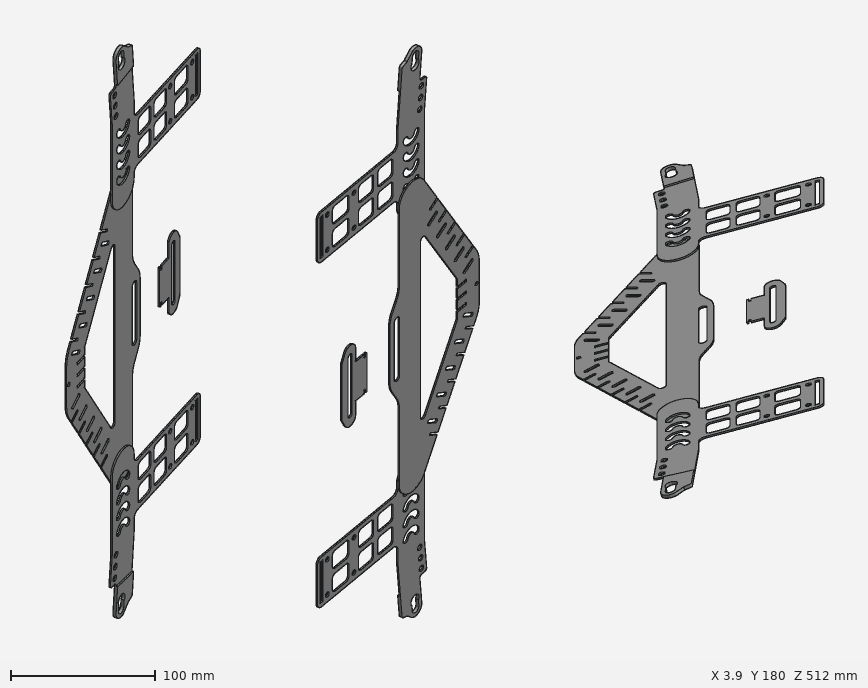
import cadquery as cq
import math


sheet = 1.3
overall_width = 180.0
overall_height = 512.0
back_y = overall_width / 2
front_y = -overall_width / 2
column_y = -15.15
column_width = 30.0
column_half = column_width / 2
joint_z = 124.5
plate_x = -1.5 * sheet
bracket_x = plate_x + sheet

brace_slope = math.radians(30)
brace_width = 24.6
brace_inward = (math.cos(brace_slope), -math.sin(brace_slope))
brace_along = (-math.sin(brace_slope), -math.cos(brace_slope))
window_back_y = -23.9
window_corner_radius = 3.0
grip_depth = 10.4
grip_middle_z = 40.2
grip_bend_radius = 20.0
grip_slot_y = 2.5
grip_slot_length = 57.0
grip_slot_width = 6.0
brace_slot_length = 12.0
brace_slot_width = 3.0
notch_width = 2.0
notch_depth = 10.0
brace_stations = 5
brace_pitch = 20.0
first_notch = 30.0
apex_notch_pitch = 10.5
apex_hole_inset = 3.1
apex_hole_diameter = 3.1

arm_z = 155.3
arm_height = 45.0
arm_corner_radius = 4.5
arm_root_radius = 5.0
window_height = 16.1
window_rib = 4.6
window_radius = 3.0
arm_windows = [(64.0, 18.5), (35.5, 17.0), (13.9, 17.0)]
arm_hole_ys = [79.0, 49.0]
arm_hole_diameter = 4.0
arm_hole_half_pitch = 15.8
end_slot_y = 85.3
end_slot_width = 3.2
crescent_radius = 6.4
crescent_width = 5.4
crescent_reach = math.radians(75)
crescent_count = 4
crescent_pitch = 14.1
top_crescent_z = 181.6

tip_lean = math.radians(5.2)
eye_reach = 55.0
eye_radius = 7.0
bend_z = overall_height / 2 - eye_radius - eye_reach * math.cos(tip_lean)
tab_reach = 29.5
tab_corner_radius = 2.0
shoulder_reach = 52.5
shoulder_end = (-9.7, 54.8)
shoulder_radius = 2.0
eye_tangent = math.radians(145)
doubled_reach = 32.0
keyhole_radius = 4.5
keyhole_slot_radius = 3.6
keyhole_length = 8.0
tab_hole_diameter = 4.8
tab_hole_offset = 9.4
tab_hole_reaches = [4.0, 14.0, 24.0]

buckle_y = 53.4
buckle_height = 72.8
buckle_end_radius = 6.3
buckle_back_y = 62.4
buckle_flare = math.radians(25)
buckle_slot_length = 56.8
buckle_slot_width = 4.5
tongue_end_y = 34.4
tongue_height = 35.4
tongue_corner_radius = 1.0
tongue_notch_y = 36.8
tongue_notch_width = 1.6
tongue_notch_depth = 2.9


def sheet_plane(x):
    """Sketch plane at the given X whose local axes are Y and Z."""
    return cq.Workplane("YZ", origin=(x, 0, 0))


def round_corners(body, corners, radius):
    """Fillet the through-thickness edges standing at the given (y, z) corners."""
    for y, z in corners:
        middle_x = body.val().Center().x
        edge = cq.selectors.NearestToPointSelector((middle_x, y, z))
        body = body.edges("|X").edges(edge).fillet(radius)
    return body


def both_sides(corners):
    """The corners together with their mirror images below Z = 0."""
    return corners + [(y, -z) for y, z in corners]


def mirrored_loop(upper):
    """Closed loop of points from its upper half and the mirror image of that half."""
    return upper + [(y, -z) for y, z in reversed(upper)]


def cutter(x, points, length, width, angle=0.0, round_ends=True):
    """Prism for cutting slots through one sheet."""
    sketch = sheet_plane(x).pushPoints(points)
    if round_ends:
        return sketch.slot2D(length, width, angle).extrude(sheet)
    return sketch.rect(length, width).extrude(sheet)



def brace_point(along, inward):
    """Point measured from the round end's tangent point along the outer edge of the upper brace."""
    tangent_y = column_y - column_half * brace_inward[0]
    tangent_z = joint_z - column_half * brace_inward[1]
    y = tangent_y + along * brace_along[0] + inward * brace_inward[0]
    z = tangent_z + along * brace_along[1] + inward * brace_inward[1]
    return (y, z)


def brace_point_at_y(y, inward):
    """Point of the brace line at the given depth that lies at the given Y."""
    start_y = brace_point(0, inward)[0]
    return brace_point((y - start_y) / brace_along[0], inward)


def plate_blank():
    back = column_y + column_half
    grip_back = back + grip_depth
    half_rise = grip_depth / math.tan(brace_slope) / 2
    grip_root = (back, grip_middle_z + half_rise)
    grip_corner = (grip_back, grip_middle_z - half_rise)
    apex_corner = brace_point_at_y(front_y, 0)
    brace_start = brace_point(0, 0)
    end_top = (column_y, joint_z + column_half)
    lower_end = (column_y, -joint_z - column_half)
    plate = (
        sheet_plane(plate_x)
        .moveTo(back, joint_z)
        .threePointArc(end_top, brace_start)
        .lineTo(*apex_corner)
        .lineTo(apex_corner[0], -apex_corner[1])
        .lineTo(brace_start[0], -brace_start[1])
        .threePointArc(lower_end, (back, -joint_z))
        .lineTo(grip_root[0], -grip_root[1])
        .lineTo(grip_corner[0], -grip_corner[1])
        .lineTo(*grip_corner)
        .lineTo(*grip_root)
        .close()
        .extrude(sheet)
    )
    plate = round_corners(plate, both_sides([grip_root, grip_corner]), grip_bend_radius)
    return round_corners(plate, both_sides([apex_corner]), brace_width)


def plate_window():
    """Opening between the column and the two braces."""
    top = brace_point_at_y(window_back_y, brace_width)
    front = brace_point_at_y(front_y + brace_width, brace_width)
    opening = sheet_plane(plate_x).polyline(mirrored_loop([top, front])).close().extrude(sheet)
    return round_corners(opening, both_sides([top]), window_corner_radius)


def brace_cuts():
    """Slots along the middle of the upper brace and notches along its outer edge."""
    angle = -math.degrees(brace_slope)
    notch_points = []
    slot_points = []
    for i in range(brace_stations):
        station = first_notch + i * brace_pitch
        notch_points.append(brace_point(station, 0))
        slot_points.append(brace_point(station + brace_pitch / 2, brace_width / 2))
    notches = cutter(plate_x, notch_points, 2 * notch_depth, notch_width, angle)
    return notches.union(cutter(plate_x, slot_points, brace_slot_length, brace_slot_width, angle))


def make_plate():
    apex_inner_y = front_y + brace_width
    apex_points = [(apex_inner_y, i * apex_notch_pitch) for i in (-1, 0, 1)]
    apex_hole = sheet_plane(plate_x).center(front_y + apex_hole_inset, 0).circle(apex_hole_diameter / 2)
    upper_cuts = brace_cuts()
    return (
        plate_blank()
        .cut(plate_window())
        .cut(cutter(plate_x, [(grip_slot_y, 0)], grip_slot_length, grip_slot_width, 90))
        .cut(upper_cuts)
        .cut(upper_cuts.mirror("XY"))
        .cut(cutter(plate_x, apex_points, 2 * notch_depth, notch_width, round_ends=False))
        .cut(apex_hole.extrude(sheet))
    )



def tip_point(offset, reach):
    """Point of the leaning tip: offset towards the front from its axis, reach from the bend."""
    y = column_y - offset * math.cos(tip_lean) - reach * math.sin(tip_lean)
    z = bend_z - offset * math.sin(tip_lean) + reach * math.cos(tip_lean)
    return (y, z)


def bracket_blank():
    """Column with its round lower end, the arm and the leaning tip."""
    back = column_y + column_half
    front = column_y - column_half
    arm_top = arm_z + arm_height / 2
    arm_bottom = arm_z - arm_height / 2
    tangent_offset = eye_radius * math.cos(eye_tangent)
    tangent_reach = eye_reach + eye_radius * math.sin(eye_tangent)
    shoulder = tip_point(-column_half, shoulder_reach)
    tab_corner = tip_point(column_half, tab_reach)
    tab_root = tip_point(eye_radius, tab_reach)
    blank = (
        sheet_plane(bracket_x)
        .moveTo(front, joint_z)
        .threePointArc((column_y, joint_z - column_half), (back, joint_z))
        .lineTo(back, arm_bottom)
        .lineTo(back_y, arm_bottom)
        .lineTo(back_y, arm_top)
        .lineTo(back, arm_top)
        .lineTo(back, bend_z)
        .lineTo(*shoulder)
        .lineTo(*tip_point(*shoulder_end))
        .lineTo(*tip_point(tangent_offset, tangent_reach))
        .threePointArc(tip_point(0, eye_reach + eye_radius), tip_point(eye_radius, eye_reach))
        .lineTo(*tab_root)
        .lineTo(*tab_corner)
        .lineTo(front, bend_z)
        .close()
        .extrude(sheet)
    )
    blank = round_corners(blank, [(back_y, arm_bottom), (back_y, arm_top)], arm_corner_radius)
    blank = round_corners(blank, [(back, arm_bottom), (back, arm_top)], arm_root_radius)
    blank = round_corners(blank, [tab_corner, tab_root], tab_corner_radius)
    return round_corners(blank, [shoulder], shoulder_radius)


def doubled_tip(blank):
    """Second sheet thickness behind the outer part of the tip."""
    margin = 2 * eye_radius
    zone_points = [
        tip_point(-column_half - margin, doubled_reach),
        tip_point(column_half + margin, doubled_reach),
        tip_point(column_half + margin, eye_reach + margin),
        tip_point(-column_half - margin, eye_reach + margin),
    ]
    zone = sheet_plane(bracket_x).polyline(zone_points).close().extrude(sheet)
    return blank.intersect(zone).translate((sheet, 0, 0))


def arm_cuts():
    half_row_pitch = (window_rib + window_height) / 2
    cuts = cutter(
        bracket_x,
        [(end_slot_y, arm_z)],
        end_slot_width,
        2 * window_height + window_rib,
        round_ends=False,
    )
    for side in (-1, 1):
        for centre_y, width in arm_windows:
            centre = (centre_y, arm_z + side * half_row_pitch)
            window = cutter(bracket_x, [centre], width, window_height, round_ends=False)
            cuts = cuts.union(window.edges("|X").fillet(window_radius))
        hole_points = [(y, arm_z + side * arm_hole_half_pitch) for y in arm_hole_ys]
        holes = sheet_plane(bracket_x).pushPoints(hole_points).circle(arm_hole_diameter / 2)
        cuts = cuts.union(holes.extrude(sheet))
    return cuts


def crescent(centre_z):
    """Arc-shaped slot with round ends, open towards the tip."""
    end_radius = crescent_width / 2
    outer = crescent_radius + end_radius
    inner = crescent_radius - end_radius

    def at(radius, side, past_end=0.0):
        """Point at one end of the arc, moved on past that end along the arc's tangent."""
        across = radius * math.sin(crescent_reach) + past_end * math.cos(crescent_reach)
        up = past_end * math.sin(crescent_reach) - radius * math.cos(crescent_reach)
        return (side * across, up)

    return (
        sheet_plane(bracket_x)
        .center(column_y, centre_z)
        .moveTo(*at(outer, -1))
        .threePointArc((0, -outer), at(outer, 1))
        .threePointArc(at(crescent_radius, 1, end_radius), at(inner, 1))
        .threePointArc((0, -inner), at(inner, -1))
        .threePointArc(at(crescent_radius, -1, end_radius), at(outer, -1))
        .close()
        .extrude(sheet)
    )


def tip_cuts():
    """Keyhole in the round end and the row of holes beside the tab."""
    depth = 2 * sheet
    slot_middle = tip_point(0, eye_reach - keyhole_length / 2)
    slot_length = keyhole_length + 2 * keyhole_slot_radius
    slot_angle = 90 + math.degrees(tip_lean)
    keyhole = (
        sheet_plane(bracket_x)
        .pushPoints([slot_middle])
        .slot2D(slot_length, 2 * keyhole_slot_radius, slot_angle)
        .extrude(depth)
    )
    wide_end = sheet_plane(bracket_x).pushPoints([tip_point(0, eye_reach - keyhole_length)])
    hole_points = [tip_point(tab_hole_offset, reach) for reach in tab_hole_reaches]
    holes = sheet_plane(bracket_x).pushPoints(hole_points).circle(tab_hole_diameter / 2)
    return keyhole.union(wide_end.circle(keyhole_radius).extrude(depth)).union(holes.extrude(depth))


def make_upper_bracket():
    blank = bracket_blank()
    bracket = blank.union(doubled_tip(blank)).cut(arm_cuts()).cut(tip_cuts())
    for i in range(crescent_count):
        bracket = bracket.cut(crescent(top_crescent_z - i * crescent_pitch))
    return bracket



def make_buckle():
    end_z = buckle_height / 2 - buckle_end_radius
    flare_start = (
        buckle_y + buckle_end_radius * math.cos(buckle_flare),
        end_z + buckle_end_radius * math.sin(buckle_flare),
    )
    flare_drop = (buckle_back_y - flare_start[0]) / math.tan(buckle_flare)
    flare_end = (buckle_back_y, flare_start[1] - flare_drop)
    head_front = buckle_y - buckle_end_radius
    tongue_top = tongue_height / 2
    head = (
        sheet_plane(bracket_x)
        .moveTo(head_front, -end_z)
        .lineTo(head_front, end_z)
        .threePointArc((buckle_y, end_z + buckle_end_radius), flare_start)
        .lineTo(*flare_end)
        .lineTo(flare_end[0], -flare_end[1])
        .lineTo(flare_start[0], -flare_start[1])
        .threePointArc((buckle_y, -end_z - buckle_end_radius), (head_front, -end_z))
        .close()
        .extrude(sheet)
    )
    tongue_points = mirrored_loop([(buckle_y, tongue_top), (tongue_end_y, tongue_top)])
    tongue = sheet_plane(bracket_x).polyline(tongue_points).close().extrude(sheet)
    tongue = round_corners(tongue, both_sides([(tongue_end_y, tongue_top)]), tongue_corner_radius)
    notch_points = both_sides([(tongue_notch_y, tongue_top)])
    notches = cutter(
        bracket_x, notch_points, tongue_notch_width, 2 * tongue_notch_depth, round_ends=False
    )
    strap_slot = cutter(bracket_x, [(buckle_y, 0)], buckle_slot_length, buckle_slot_width, 90)
    return head.union(tongue).cut(notches).cut(strap_slot)


plate = make_plate()
buckle = make_buckle()
upper_bracket = make_upper_bracket()
lower_bracket = upper_bracket.mirror("XY")

result = cq.Compound.makeCompound(
    [plate.val(), buckle.val(), upper_bracket.val(), lower_bracket.val()]
)